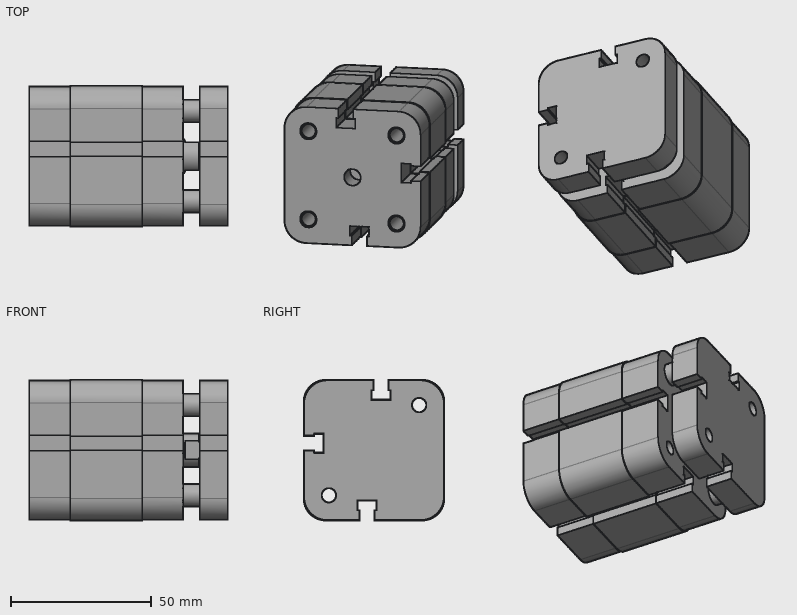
import cadquery as cq


total_length = 70.5
cap_length = 14.6
housing_length = 54.65
plate_thickness = 10.0
barrel_length = housing_length - 2 * cap_length
plate_start = total_length - plate_thickness
gap_length = plate_start - housing_length

barrel_width = 50.0
barrel_radius = 8.0
inset = 0.25
cap_width = barrel_width - 2 * inset
cap_radius = barrel_radius
plate_radius = barrel_radius - inset

slot_offset = 2.5
slot_mouth_width = 5.0
slot_inner_width = 6.5
slot_lip = 3.75
slot_depth = 7.0
cutter_overrun = 0.7
slot_turns = (0, 90, 180)

corner_offset = 16.0
corner_signs = ((1, 1), (-1, 1), (-1, -1), (1, -1))
mounting_hole_diameter = 5.0
mounting_hole_chamfer = 0.5
guide_signs = ((-1, 1), (1, -1))
plate_hole_signs = ((1, 1), (-1, -1))
guide_diameter = 8.05

center_hole_diameter = 6.0
center_hole_depth = 10.0

rod_diameter = 12.0
rod_across_flats = 10.0
rod_flat_start = 0.8
rod_flat_run_out = 0.35
rod_end_chamfer = 0.35


def corner_points(signs):
    """Places of the chosen corners in the YZ plane."""
    return [(y_sign * corner_offset, z_sign * corner_offset) for y_sign, z_sign in signs]


def mounting_holes(start, length, signs):
    """Straight hole cutters along X at the chosen corners."""
    return (
        cq.Workplane("YZ", origin=(start, 0, 0))
        .pushPoints(corner_points(signs))
        .circle(mounting_hole_diameter / 2)
        .extrude(length)
    )


def slot_cutter(start, length, growth):
    """T-slot along the +Z side, with its side walls and floor moved out by growth."""
    half_mouth = slot_mouth_width / 2 + growth
    half_inner = slot_inner_width / 2 + growth
    outside_z = barrel_width / 2 + cutter_overrun
    lip_z = barrel_width / 2 - slot_lip
    floor_z = barrel_width / 2 - slot_depth - growth
    outline = [
        (slot_offset - half_mouth, outside_z),
        (slot_offset - half_mouth, lip_z),
        (slot_offset - half_inner, lip_z),
        (slot_offset - half_inner, floor_z),
        (slot_offset + half_inner, floor_z),
        (slot_offset + half_inner, lip_z),
        (slot_offset + half_mouth, lip_z),
        (slot_offset + half_mouth, outside_z),
    ]
    return cq.Workplane("YZ", origin=(start, 0, 0)).polyline(outline).close().extrude(length)


def slotted_block(start, length, width, radius, growth):
    """Rounded square block along X with its three T-slots."""
    block = (
        cq.Workplane("YZ", origin=(start, 0, 0))
        .rect(width, width)
        .extrude(length)
        .edges("|X")
        .fillet(radius)
    )
    cutter = slot_cutter(start, length, growth)
    for turn in slot_turns:
        block = block.cut(cutter.rotate((0, 0, 0), (1, 0, 0), turn))
    return block


def make_housing():
    """Barrel with an end cap on both sides, all one body."""
    rear_cap = slotted_block(0, cap_length, cap_width, cap_radius, inset)
    barrel = slotted_block(cap_length, barrel_length, barrel_width, barrel_radius, 0)
    front_cap = slotted_block(cap_length + barrel_length, cap_length, cap_width, cap_radius, inset)
    housing = rear_cap.union(barrel).union(front_cap)

    countersink_diameter = mounting_hole_diameter + 2 * mounting_hole_chamfer
    countersink = cq.Solid.makeCone(
        countersink_diameter / 2, mounting_hole_diameter / 2, mounting_hole_chamfer,
        cq.Vector(0, 0, 0), cq.Vector(1, 0, 0),
    )
    housing = housing.cut(mounting_holes(0, housing_length, corner_signs))
    for y, z in corner_points(corner_signs):
        housing = housing.cut(cq.Workplane(countersink.translate(cq.Vector(0, y, z))))

    center_hole = cq.Workplane("YZ").circle(center_hole_diameter / 2).extrude(center_hole_depth)
    return housing.cut(center_hole)


def make_plate():
    """Front plate, open in line with the mounting holes that have no guide rod."""
    plate = slotted_block(plate_start, plate_thickness, cap_width, plate_radius, inset)
    return plate.cut(mounting_holes(plate_start, plate_thickness, plate_hole_signs))


def make_piston_rod():
    """Round rod from housing to plate, with two wrench flats facing -Y and +Y."""
    rod = (
        cq.Workplane("YZ", origin=(housing_length, 0, 0))
        .circle(rod_diameter / 2)
        .extrude(gap_length)
        .faces(">X")
        .chamfer(rod_end_chamfer)
    )
    flat_x = housing_length + rod_flat_start
    flat_y = rod_across_flats / 2
    flat_cutter = (
        cq.Workplane("XY")
        .moveTo(flat_x, flat_y)
        .lineTo(flat_x - rod_flat_run_out, rod_diameter / 2)
        .lineTo(plate_start, rod_diameter / 2)
        .lineTo(plate_start, flat_y)
        .close()
        .extrude(rod_diameter / 2, both=True)
    )
    return rod.cut(flat_cutter).cut(flat_cutter.mirror("XZ"))


def make_guide_rod(y, z):
    """Guide rod from the housing face to the plate."""
    return cq.Workplane("YZ", origin=(housing_length, y, z)).circle(guide_diameter / 2).extrude(gap_length)


housing = make_housing()
plate = make_plate()
piston_rod = make_piston_rod()
guide_rods = [make_guide_rod(y, z) for y, z in corner_points(guide_signs)]

result = cq.Compound.makeCompound(
    [housing.val(), plate.val(), piston_rod.val(), *[guide_rod.val() for guide_rod in guide_rods]]
)